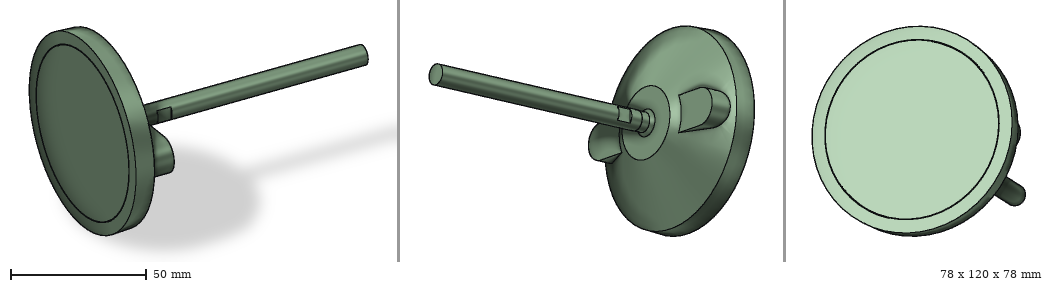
import cadquery as cq

total_length = 120.0

plate_diameter = 78.0
rim_top_diameter = 77.2
rim_height = 8.2
crown_diameter = 28.0
crown_height = 20.0

groove_outer_diameter = 68.0
groove_inner_diameter = 67.5
groove_depth = 2.0

lug_spacing = 58.0
lug_width = 14.5
lug_height = 18.0

collar_diameter = 10.5
neck_diameter = 7.8
collar_top = 21.4
neck_top = 25.0
spindle_diameter = 8.0

flat_start = 30.0
flat_length = 6.0
across_flats = 6.0


def along_y(y):
    """Workplane whose normal is +Y, at the given height above the contact face."""
    return cq.Workplane(cq.Plane(origin=(0, y, 0), xDir=(1, 0, 0), normal=(0, 1, 0)))


def foot_plate():
    """Slightly tapered rim with a conical crown."""
    outline = [
        (0, 0),
        (plate_diameter / 2, 0),
        (rim_top_diameter / 2, rim_height),
        (crown_diameter / 2, crown_height),
        (0, crown_height),
    ]
    return cq.Workplane("XY").polyline(outline).close().revolve(360, (0, 0), (0, 1))


def lug_bar():
    """Round-ended bar through the crown, leaving one lug on each side."""
    return along_y(0).slot2D(lug_spacing + lug_width, lug_width).extrude(lug_height)


def spindle():
    """Conical collar, neck and plain rod, starting on the crown."""
    outline = [
        (0, crown_height),
        (collar_diameter / 2, crown_height),
        (neck_diameter / 2, collar_top),
        (neck_diameter / 2, neck_top),
        (spindle_diameter / 2, neck_top),
        (spindle_diameter / 2, total_length),
        (0, total_length),
    ]
    return cq.Workplane("XY").polyline(outline).close().revolve(360, (0, 0), (0, 1))


def wrench_flats():
    """Material outside the two flats, which face -X and +X."""
    clear_width = 2 * spindle_diameter
    around = along_y(flat_start).rect(clear_width, clear_width).extrude(flat_length)
    kept = along_y(flat_start).rect(across_flats, clear_width).extrude(flat_length)
    return around.cut(kept)


def pad_groove():
    """Thin ring that separates the pad from the rim in the contact face."""
    ring = along_y(0).circle(groove_outer_diameter / 2).circle(groove_inner_diameter / 2)
    return ring.extrude(groove_depth)


result = foot_plate().union(lug_bar()).union(spindle())
result = result.cut(wrench_flats()).cut(pad_groove())